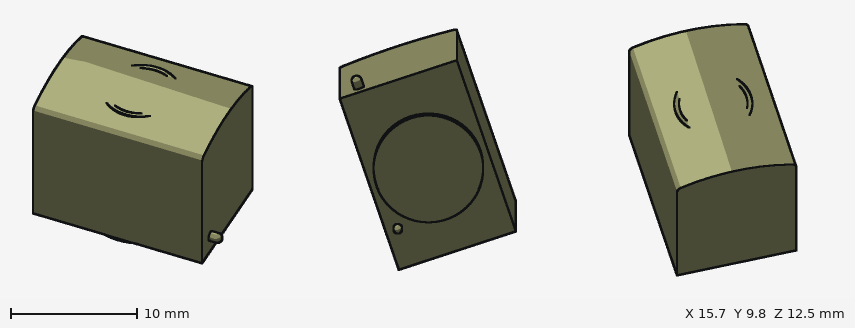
import cadquery as cq

body_length = 14.7
body_width = 9.8
body_height = 11.79
crown_radius = 15.0
shoulder_radius = 0.5

axis_x = 7.19

foot_diameter = 8.7
foot_height = 0.7

ring_outer_diameter = 6.2
ring_inner_diameter = 5.43
ring_top_drop = 0.2
ring_depth = 0.47

side_pin_diameter = 0.8
side_pin_length = 1.0
side_pin_y = -3.27
side_pin_z = 1.6
bottom_pin_diameter = 0.7
bottom_pin_length = 0.68
bottom_pin_x = 3.23
bottom_pin_y = -3.9

embed = 0.15
select_margin = 0.15


def make_body():
    """Block with a cylindrical crown along X and rounded shoulders."""
    half_width = body_width / 2
    crown_drop = crown_radius - (crown_radius**2 - half_width**2) ** 0.5
    shoulder_z = body_height - crown_drop
    profile = (
        cq.Workplane("YZ")
        .moveTo(-half_width, 0)
        .lineTo(half_width, 0)
        .lineTo(half_width, shoulder_z)
        .threePointArc((0, body_height), (-half_width, shoulder_z))
        .close()
    )
    body = profile.extrude(body_length)
    shoulder_edges = cq.selectors.BoxSelector(
        (0, -body_width, shoulder_z - select_margin),
        (body_length, body_width, shoulder_z + select_margin),
    )
    return body.edges("|X").edges(shoulder_edges).fillet(shoulder_radius)


def make_foot():
    return (
        cq.Workplane("XY")
        .center(axis_x, 0)
        .circle(foot_diameter / 2)
        .extrude(-foot_height)
    )


def make_crown_ring():
    return (
        cq.Workplane("XY", origin=(axis_x, 0, body_height - ring_top_drop))
        .circle(ring_outer_diameter / 2)
        .circle(ring_inner_diameter / 2)
        .extrude(-ring_depth)
    )


def make_pin(base, direction, diameter, length):
    """Pin standing on `base`, pointing along `direction`, with a hemispherical nose."""
    radius = diameter / 2
    profile = (
        cq.Workplane("XZ")
        .moveTo(0, -embed)
        .lineTo(radius, -embed)
        .lineTo(radius, length - radius)
        .radiusArc((0, length), -radius)
        .close()
    )
    pin = profile.revolve(360, (0, 0), (0, 1)).val()
    seat = cq.Plane(origin=base, xDir=(0, 1, 0), normal=direction)
    return cq.Workplane(pin.located(cq.Location(seat)))


side_pin = make_pin(
    (body_length, side_pin_y, side_pin_z), (1, 0, 0), side_pin_diameter, side_pin_length
)
bottom_pin = make_pin(
    (bottom_pin_x, bottom_pin_y, 0), (0, 0, -1), bottom_pin_diameter, bottom_pin_length
)

result = make_body()
for feature in (make_foot(), make_crown_ring(), side_pin, bottom_pin):
    result = result.union(feature)